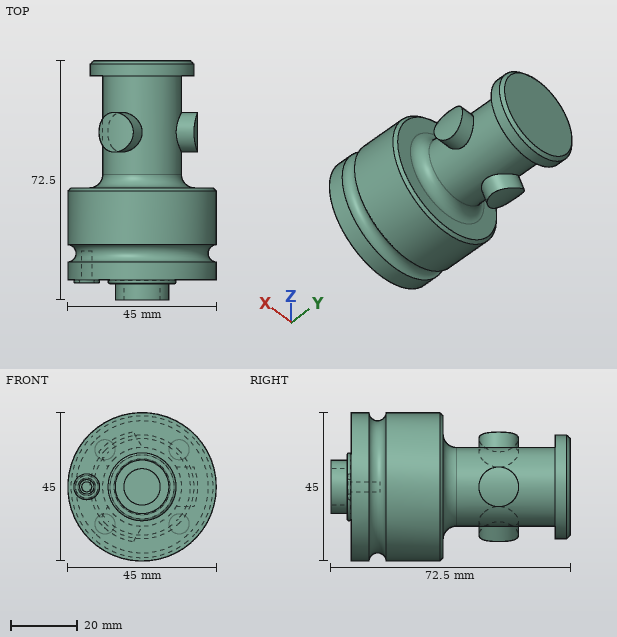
import cadquery as cq
import math

total_length = 72.5

nose_length = 6.1
nose_radius = 8.1
bore_radius = 5.5
bore_depth = 5.0

head_diameter = 45.0
head_length = 27.9
head_chamfer = 1.0
groove_start = 5.45
groove_width = 5.2
groove_depth = 2.5

stem_radius = 11.95
stem_fillet = 4.0
flange_radius = 15.7
flange_thickness = 4.65
flange_chamfer = 1.1

pin_count = 3
pin_radius = 6.0
pin_reach = 16.8
pin_y = 44.7

seal_outer_radius = 10.3
seal_inner_radius = 7.9
seal_height = 1.15
port_seal_outer_radius = 3.9
port_seal_inner_radius = 2.2
port_seal_height = 0.95

port_x = -16.75
port_radius = 1.5
port_depth = 8.7

plug_radius = 3.05
plug_offset = 11.25
plug_depth = 3.6

head_radius = head_diameter / 2
back_y = total_length - nose_length
flange_y = back_y - flange_thickness
groove_end = groove_start + groove_width


def cylinder_along_y(radius, start_y, length, x=0, z=0):
    """Cylinder that runs from start_y toward +Y."""
    return cq.Workplane(cq.Solid.makeCylinder(radius, length, cq.Vector(x, start_y, z), cq.Vector(0, 1, 0)))


def make_turned_body():
    """Nose, grooved head, stem and flange as one revolved profile."""
    arc_inset = stem_fillet * (1 - math.sqrt(0.5))
    profile = (
        cq.Workplane("XY")
        .moveTo(0, -nose_length)
        .lineTo(nose_radius, -nose_length)
        .lineTo(nose_radius, 0)
        .lineTo(head_radius, 0)
        .lineTo(head_radius, groove_start)
        .threePointArc(
            (head_radius - groove_depth, groove_start + groove_width / 2),
            (head_radius, groove_end),
        )
        .lineTo(head_radius, head_length - head_chamfer)
        .lineTo(head_radius - head_chamfer, head_length)
        .lineTo(stem_radius + stem_fillet, head_length)
        .threePointArc(
            (stem_radius + arc_inset, head_length + arc_inset),
            (stem_radius, head_length + stem_fillet),
        )
        .lineTo(stem_radius, flange_y)
        .lineTo(flange_radius, flange_y)
        .lineTo(flange_radius, back_y - flange_chamfer)
        .lineTo(flange_radius - flange_chamfer, back_y)
        .lineTo(0, back_y)
        .close()
    )
    return profile.revolve(360, (0, 0, 0), (0, 1, 0))


def make_pins():
    """Radial pins whose crowns lie on a cylinder about the stem axis."""
    pins = cq.Workplane()
    for i in range(pin_count):
        angle = 2 * math.pi * i / pin_count
        direction = cq.Vector(math.cos(angle), 0, math.sin(angle))
        pins = pins.add(cq.Solid.makeCylinder(pin_radius, pin_reach, cq.Vector(0, pin_y, 0), direction))
    crown = cylinder_along_y(pin_reach, pin_y - 2 * pin_radius, 4 * pin_radius)
    return pins.combine().intersect(crown)


def make_seal(outer_radius, inner_radius, height, x=0):
    """Flat ring with fully rounded inner and outer rims, standing on the front face."""
    rim_radius = height / 2
    section = (
        cq.Workplane("XY")
        .moveTo(x + inner_radius + rim_radius, 0)
        .lineTo(x + outer_radius - rim_radius, 0)
        .threePointArc((x + outer_radius, -rim_radius), (x + outer_radius - rim_radius, -height))
        .lineTo(x + inner_radius + rim_radius, -height)
        .threePointArc((x + inner_radius, -rim_radius), (x + inner_radius + rim_radius, 0))
        .close()
    )
    return section.revolve(360, (x, 0, 0), (x, 1, 0))


def make_plugs():
    """Four plugs on a square pattern, their ends level with the front face."""
    plugs = cq.Workplane()
    for x in (-plug_offset, plug_offset):
        for z in (-plug_offset, plug_offset):
            plugs = plugs.add(cylinder_along_y(plug_radius, 0, plug_depth, x, z))
    return plugs.combine()


body = make_turned_body().union(make_pins())
body = body.union(make_seal(seal_outer_radius, seal_inner_radius, seal_height))
body = body.union(make_seal(port_seal_outer_radius, port_seal_inner_radius, port_seal_height, port_x))
body = body.cut(cylinder_along_y(bore_radius, -nose_length, bore_depth))
body = body.cut(cylinder_along_y(port_radius, 0, port_depth, port_x))

plug_set = make_plugs()
result = body.cut(plug_set).union(plug_set, clean=False)